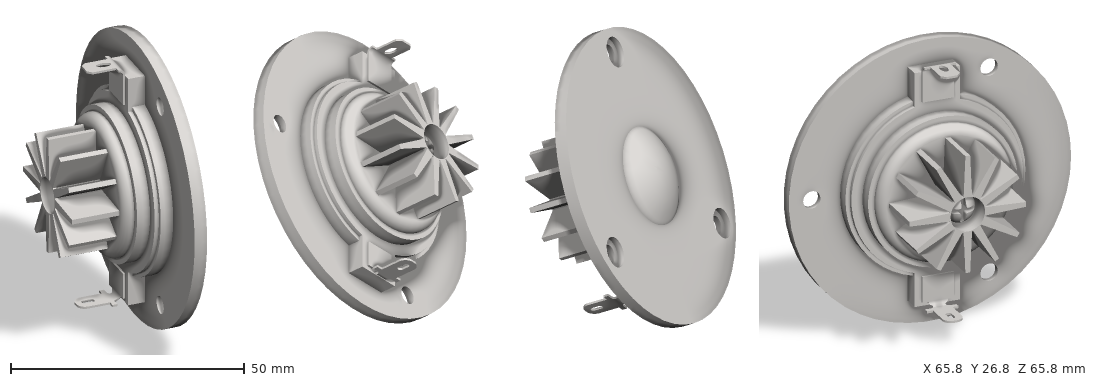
import cadquery as cq
import math


FLANGE_DIAMETER = 65.8
FLANGE_THICKNESS = 2.9
MOUNT_HOLE_DIAMETER = 4.0
COUNTERBORE_DIAMETER = 6.8
COUNTERBORE_DEPTH = 1.5
MOUNT_HOLE_RADIUS = 27.6
MOUNT_HOLE_ANGLES = (60, 180, 300)
DOME_HEIGHT = 3.5
DOME_BASE_RADIUS = 10.9

BASE_RING_DIAMETER = 42.0
BASE_RING_DEPTH = 2.9
STEP_RING_DIAMETER = 40.0
STEP_RING_DEPTH = 1.0
REAR_RING_DIAMETER = 34.9
REAR_RING_DEPTH = 3.0
BLOCK_WIDTH = 10.5
BLOCK_END = 27.25

CUP_DIAMETER = 32.0
CUP_DEPTH = 2.5
CUP_FILLET = 2.1
FIN_COUNT = 12
FIN_LENGTH = 11.0
FIN_ROOT_WIDTH = 2.0
FIN_TIP_WIDTH = 1.1
FIN_TIP_RADIUS = 13.6
HUB_DIAMETER = 8.0
HUB_OUTER_DIAMETER = 8.55

HEAD_DIAMETER = 7.0
HEAD_SIDE_HEIGHT = 6.85
HEAD_DOME_HEIGHT = 2.3
CROSS_LENGTH = 6.25
CROSS_WIDTH = 1.1
CROSS_DEPTH = 1.85
CROSS_CORNER_RADIUS = 0.4

TERMINAL_WIDTH = 7.4
TERMINAL_THICKNESS = 0.5
TERMINAL_START = 20.3
TAB_WIDTH = 4.6
UPPER_TAB_OFFSET = 28.8
UPPER_TAB_LENGTH = 7.95
UPPER_BEND_RADIUS = 1.4
UPPER_SHOULDER = 1.6
UPPER_CHAMFER = 1.0
EYE_LENGTH = 3.35
EYE_WIDTH = 1.8
EYE_POSITION = 3.5
LOWER_TAB_OFFSET = 27.85
LOWER_TAB_LENGTH = 9.95
LOWER_BEND_RADIUS = 1.5
NECK_WIDTH = 3.0
NECK_FILLET = 0.8
WING_START = 1.85
WING_LENGTH = 1.1
LOWER_CORNER_RADIUS = 2.0
SLOT_LENGTH = 3.0
SLOT_WIDTH = 1.3
SLOT_POSITION = 7.1

FLANGE_Y = -FLANGE_THICKNESS
BASE_Y = FLANGE_Y - BASE_RING_DEPTH
BLOCK_Y = BASE_Y - STEP_RING_DEPTH
REAR_Y = BLOCK_Y - REAR_RING_DEPTH
CUP_Y = REAR_Y - CUP_DEPTH


def rear_plane(y):
    """Workplane at the given Y with local x = X, local y = Z, extruding towards -Y."""
    return cq.Workplane("XZ", origin=(0, y, 0))


def disc(y, diameter, depth):
    return rear_plane(y).circle(diameter / 2).extrude(depth)


def dome(base_radius, height):
    """Spherical cap about the Y axis, with its flat base at y = 0 and its top at +Y."""
    sphere_radius = (base_radius ** 2 + height ** 2) / (2 * height)
    mid_height = height / 2
    mid_radius = math.sqrt(sphere_radius ** 2 - (sphere_radius - height + mid_height) ** 2)
    return (
        cq.Workplane("XY")
        .lineTo(base_radius, 0)
        .threePointArc((mid_radius, mid_height), (0, height))
        .close()
        .revolve(360, (0, 0, 0), (0, 1, 0))
    )


def make_housing():
    """Flange, dome, stepped rings and the two terminal blocks."""
    hole_centres = [
        (
            MOUNT_HOLE_RADIUS * math.cos(math.radians(angle)),
            MOUNT_HOLE_RADIUS * math.sin(math.radians(angle)),
        )
        for angle in MOUNT_HOLE_ANGLES
    ]
    holes = (
        rear_plane(0)
        .pushPoints(hole_centres)
        .circle(MOUNT_HOLE_DIAMETER / 2)
        .extrude(FLANGE_THICKNESS)
    )
    counterbores = (
        rear_plane(0)
        .pushPoints(hole_centres)
        .circle(COUNTERBORE_DIAMETER / 2)
        .extrude(COUNTERBORE_DEPTH)
    )
    flange = disc(0, FLANGE_DIAMETER, FLANGE_THICKNESS).cut(holes).cut(counterbores)
    blocks = rear_plane(FLANGE_Y).rect(BLOCK_WIDTH, 2 * BLOCK_END).extrude(FLANGE_Y - BLOCK_Y)
    return (
        flange
        .union(dome(DOME_BASE_RADIUS, DOME_HEIGHT))
        .union(disc(FLANGE_Y, BASE_RING_DIAMETER, BASE_RING_DEPTH))
        .union(disc(BASE_Y, STEP_RING_DIAMETER, STEP_RING_DEPTH))
        .union(blocks)
        .union(disc(BLOCK_Y, REAR_RING_DIAMETER, REAR_RING_DEPTH))
    )


def make_fin(angle):
    """One radial fin, tapering in width from the hub to its tip."""
    inner_radius = HUB_DIAMETER / 4
    taper = (FIN_ROOT_WIDTH - FIN_TIP_WIDTH) / (FIN_TIP_RADIUS - HUB_DIAMETER / 2)
    inner_width = FIN_ROOT_WIDTH + taper * (HUB_DIAMETER / 2 - inner_radius)
    return (
        rear_plane(CUP_Y)
        .moveTo(inner_radius, -inner_width / 2)
        .lineTo(FIN_TIP_RADIUS, -FIN_TIP_WIDTH / 2)
        .lineTo(FIN_TIP_RADIUS, FIN_TIP_WIDTH / 2)
        .lineTo(inner_radius, inner_width / 2)
        .close()
        .extrude(FIN_LENGTH)
        .rotate((0, 0, 0), (0, 1, 0), angle)
    )


def make_heat_sink():
    """Rounded cup with radial fins around a thin hub with a round bore."""
    sink = disc(REAR_Y, CUP_DIAMETER, CUP_DEPTH).faces("<Y").edges().fillet(CUP_FILLET)
    sink = sink.union(disc(CUP_Y, HUB_OUTER_DIAMETER, FIN_LENGTH))
    for index in range(FIN_COUNT):
        sink = sink.union(make_fin(index * 360 / FIN_COUNT))
    return sink.cut(disc(CUP_Y, HUB_DIAMETER, FIN_LENGTH))


def make_screw():
    """Domed screw head with a cross recess, standing on the floor of the hub bore."""
    side_y = CUP_Y - HEAD_SIDE_HEIGHT
    top_y = side_y - HEAD_DOME_HEIGHT
    cap = (
        dome(HEAD_DIAMETER / 2, HEAD_DOME_HEIGHT)
        .rotate((0, 0, 0), (0, 0, 1), 180)
        .translate((0, side_y, 0))
    )
    head = disc(CUP_Y, HEAD_DIAMETER, HEAD_SIDE_HEIGHT).union(cap)
    cross_plane = rear_plane(top_y + CROSS_DEPTH)
    cross = cross_plane.slot2D(CROSS_LENGTH, CROSS_WIDTH, 0).extrude(CROSS_DEPTH)
    cross = cross.union(cross_plane.slot2D(CROSS_LENGTH, CROSS_WIDTH, 90).extrude(CROSS_DEPTH))
    inner_corners = cq.selectors.BoxSelector(
        (-CROSS_WIDTH, top_y, -CROSS_WIDTH),
        (CROSS_WIDTH, top_y + CROSS_DEPTH, CROSS_WIDTH),
    )
    cross = cross.edges("|Y").edges(inner_corners).fillet(CROSS_CORNER_RADIUS)
    return head.cut(cross)


def bent_strip(thickness, tab_offset, tab_length, bend_radius):
    """L-shaped strip lying on a block face, with its tab folded away from the flange."""
    outer_y = BLOCK_Y - tab_length
    plate_y = BLOCK_Y - thickness
    inner_offset = tab_offset - thickness
    profile = (
        cq.Workplane("YZ", origin=(-TERMINAL_WIDTH / 2, 0, 0))
        .moveTo(BLOCK_Y, TERMINAL_START)
        .lineTo(BLOCK_Y, tab_offset)
        .lineTo(outer_y, tab_offset)
        .lineTo(outer_y, inner_offset)
        .lineTo(plate_y, inner_offset)
        .lineTo(plate_y, TERMINAL_START)
        .close()
        .extrude(TERMINAL_WIDTH)
    )
    outer_edge = cq.selectors.NearestToPointSelector((0, BLOCK_Y, tab_offset))
    inner_edge = cq.selectors.NearestToPointSelector((0, plate_y, inner_offset))
    return (
        profile
        .edges("|X").edges(outer_edge).fillet(bend_radius)
        .edges("|X").edges(inner_edge).fillet(bend_radius - thickness)
    )


def tab_plane():
    """Workplane at z = 0 on the block face, with local y running along the tab."""
    return cq.Workplane(cq.Plane(origin=(0, BLOCK_Y, 0), xDir=(-1, 0, 0), normal=(0, 0, 1)))


def make_upper_terminal():
    """Terminal with a full-width bend, a chamfered tab and an elliptical eye."""
    half_width = TERMINAL_WIDTH / 2
    half_tab = TAB_WIDTH / 2
    outline = (
        tab_plane()
        .moveTo(-half_width, 0)
        .lineTo(-half_width, UPPER_SHOULDER)
        .lineTo(-half_tab, UPPER_SHOULDER)
        .lineTo(-half_tab, UPPER_TAB_LENGTH - UPPER_CHAMFER)
        .lineTo(-half_tab + UPPER_CHAMFER, UPPER_TAB_LENGTH)
        .lineTo(half_tab - UPPER_CHAMFER, UPPER_TAB_LENGTH)
        .lineTo(half_tab, UPPER_TAB_LENGTH - UPPER_CHAMFER)
        .lineTo(half_tab, UPPER_SHOULDER)
        .lineTo(half_width, UPPER_SHOULDER)
        .lineTo(half_width, 0)
        .close()
        .extrude(UPPER_TAB_OFFSET)
    )
    eye = (
        tab_plane()
        .center(0, EYE_POSITION)
        .ellipse(EYE_WIDTH / 2, EYE_LENGTH / 2)
        .extrude(UPPER_TAB_OFFSET)
    )
    strip = bent_strip(TERMINAL_THICKNESS, UPPER_TAB_OFFSET, UPPER_TAB_LENGTH, UPPER_BEND_RADIUS)
    return strip.intersect(outline).cut(eye)


def make_lower_terminal():
    """Terminal with a narrow bent neck, side wings, a rounded tab and a slot.

    It is shaped with its tab above the axis and then turned over to the lower block.
    """
    plate_end = LOWER_TAB_OFFSET - LOWER_BEND_RADIUS
    half_width = TERMINAL_WIDTH / 2
    half_tab = TAB_WIDTH / 2
    neck_side = NECK_WIDTH / 2
    flare_side = neck_side + NECK_FILLET
    wing_end = WING_START + WING_LENGTH
    strip = bent_strip(TERMINAL_THICKNESS, LOWER_TAB_OFFSET, LOWER_TAB_LENGTH, LOWER_BEND_RADIUS)

    plate_outline = (
        rear_plane(BLOCK_Y)
        .moveTo(-half_width, TERMINAL_START)
        .lineTo(half_width, TERMINAL_START)
        .lineTo(half_width, plate_end)
        .lineTo(flare_side, plate_end)
        .radiusArc((neck_side, plate_end + NECK_FILLET), -NECK_FILLET)
        .lineTo(neck_side, LOWER_TAB_OFFSET)
        .lineTo(-neck_side, LOWER_TAB_OFFSET)
        .lineTo(-neck_side, plate_end + NECK_FILLET)
        .radiusArc((-flare_side, plate_end), -NECK_FILLET)
        .lineTo(-half_width, plate_end)
        .close()
        .extrude(LOWER_BEND_RADIUS)
    )

    tab_outline = (
        tab_plane()
        .moveTo(-neck_side, TERMINAL_THICKNESS)
        .lineTo(-neck_side, WING_START - NECK_FILLET)
        .radiusArc((-flare_side, WING_START), -NECK_FILLET)
        .lineTo(-half_width, WING_START)
        .lineTo(-half_width, wing_end)
        .lineTo(-half_tab, wing_end)
        .lineTo(-half_tab, LOWER_TAB_LENGTH)
        .lineTo(half_tab, LOWER_TAB_LENGTH)
        .lineTo(half_tab, wing_end)
        .lineTo(half_width, wing_end)
        .lineTo(half_width, WING_START)
        .lineTo(flare_side, WING_START)
        .radiusArc((neck_side, WING_START - NECK_FILLET), -NECK_FILLET)
        .lineTo(neck_side, TERMINAL_THICKNESS)
        .close()
        .extrude(LOWER_TAB_OFFSET)
    )
    far_corners = cq.selectors.BoxSelector(
        (-half_width, BLOCK_Y - LOWER_TAB_LENGTH - 0.65, 0),
        (half_width, BLOCK_Y - LOWER_TAB_LENGTH + 0.65, LOWER_TAB_OFFSET),
    )
    tab_outline = tab_outline.edges("|Z").edges(far_corners).fillet(LOWER_CORNER_RADIUS)
    slot = (
        tab_plane()
        .center(0, SLOT_POSITION)
        .slot2D(SLOT_LENGTH, SLOT_WIDTH, 90)
        .extrude(LOWER_TAB_OFFSET)
    )
    terminal = strip.intersect(plate_outline.union(tab_outline)).cut(slot)
    return terminal.rotate((0, 0, 0), (0, 1, 0), 180)


housing = make_housing()
heat_sink = make_heat_sink()
screw = make_screw()
upper_terminal = make_upper_terminal()
lower_terminal = make_lower_terminal()

result = cq.Compound.makeCompound([
    housing.solids().val(),
    heat_sink.solids().val(),
    screw.solids().val(),
    upper_terminal.solids().val(),
    lower_terminal.solids().val(),
])